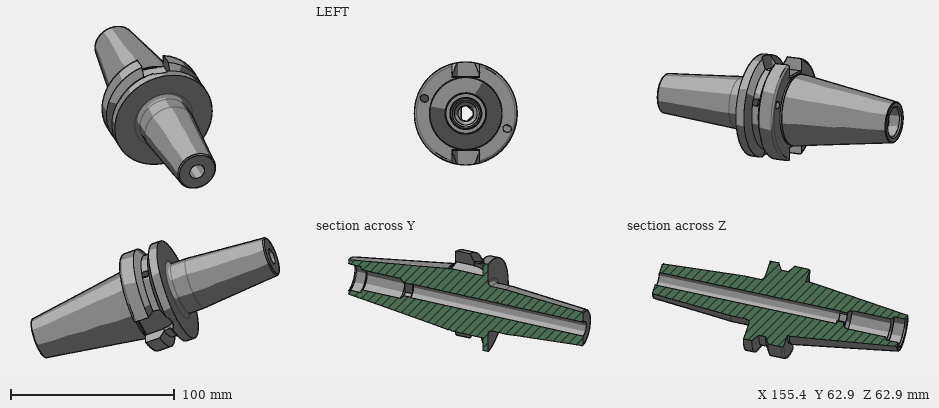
import cadquery as cq
import math

length = 155.4
taper_length = 65.9
collar_start = 67.1
flange_end = 92.5
shank_taper_start = 104.6

taper_slope = 7 / 24
gauge_radius = 22.2
tail_chamfer = 0.5
tail_radius = gauge_radius - taper_length * taper_slope / 2
relief_radius = 21.9

flange_radius = 31.47
collar_fillet = 1.4
groove_center = 81.9
groove_floor_width = 4.4
groove_floor_radius = 26.4
groove_half_angle = 30

shank_radius = 16.2
shank_fillet = 2.5
nose_half_angle = 4.5
nose_chamfer = 0.8

mouth_radius = 9.8
mouth_depth = 1.2
pilot_radius = 9.2
pilot_depth = 8.1
thread_mouth_radius = 8.2
thread_radius = 7.0
thread_end = 34.2
nose_bore_radius = 4.8

throat_length = 4.7
throat_radius = 4.5
side_flat_distance = 2.6
inclined_flat_distance = 3.9
inclined_flat_angle = 48
throat_start = thread_end + thread_radius - nose_bore_radius
throat_overlap = 0.8

slot_width = 16.2
collar_slot_width = 17.0
slot_end = 88.9
slot_floor = 22.5
slot_lip_length = 1.0

coolant_diameter = 4.5
coolant_angle = 20
coolant_entry_radius = 26.9
coolant_tilt = 28


def revolve_about_x(outline):
    return outline.close().revolve(360, (0, 0, 0), (1, 0, 0))


def make_body():
    groove_half_floor = groove_floor_width / 2
    groove_depth = flange_radius - groove_floor_radius
    groove_half_top = groove_half_floor + groove_depth * math.tan(math.radians(groove_half_angle))
    nose_start = length - nose_chamfer
    nose_radius = shank_radius - (nose_start - shank_taper_start) * math.tan(math.radians(nose_half_angle))
    outline = (
        cq.Workplane("XY")
        .moveTo(0, 0)
        .lineTo(0, tail_radius - tail_chamfer)
        .lineTo(tail_chamfer, tail_radius + tail_chamfer * taper_slope / 2)
        .lineTo(taper_length, gauge_radius)
        .lineTo(taper_length, relief_radius)
        .lineTo(collar_start, relief_radius)
        .lineTo(collar_start, flange_radius - collar_fillet)
        .radiusArc((collar_start + collar_fillet, flange_radius), collar_fillet)
        .lineTo(groove_center - groove_half_top, flange_radius)
        .lineTo(groove_center - groove_half_floor, groove_floor_radius)
        .lineTo(groove_center + groove_half_floor, groove_floor_radius)
        .lineTo(groove_center + groove_half_top, flange_radius)
        .lineTo(flange_end, flange_radius)
        .lineTo(flange_end, shank_radius + shank_fillet)
        .radiusArc((flange_end + shank_fillet, shank_radius), -shank_fillet)
        .lineTo(shank_taper_start, shank_radius)
        .lineTo(nose_start, nose_radius)
        .lineTo(length, nose_radius - nose_chamfer)
        .lineTo(length, 0)
    )
    return revolve_about_x(outline)


def make_bore():
    outline = (
        cq.Workplane("XY")
        .moveTo(0, 0)
        .lineTo(0, mouth_radius)
        .lineTo(mouth_depth, pilot_radius)
        .lineTo(pilot_depth, pilot_radius)
        .lineTo(pilot_depth, thread_mouth_radius)
        .lineTo(pilot_depth + thread_mouth_radius - thread_radius, thread_radius)
        .lineTo(thread_end, thread_radius)
        .lineTo(throat_start, nose_bore_radius)
        .lineTo(length, nose_bore_radius)
        .lineTo(length, 0)
    )
    return revolve_about_x(outline)


def make_throat():
    """Ring left standing in the bore, whose opening is a circle with three flats."""
    profile = cq.Workplane("YZ", origin=(throat_start, 0, 0))
    opening = profile.circle(throat_radius).extrude(throat_length)
    flats = (
        (0, side_flat_distance),
        (180 - inclined_flat_angle, inclined_flat_distance),
        (180 + inclined_flat_angle, inclined_flat_distance),
    )
    for angle, distance in flats:
        beyond_flat = (
            profile.center(distance + nose_bore_radius, 0)
            .rect(2 * nose_bore_radius, 4 * nose_bore_radius)
            .extrude(throat_length)
            .rotate((0, 0, 0), (1, 0, 0), angle)
        )
        opening = opening.cut(beyond_flat)
    return profile.circle(nose_bore_radius + throat_overlap).extrude(throat_length).cut(opening)


def make_drive_slot():
    """Round-ended slot on the +Z side, slightly wider through the collar, with a bevelled floor edge."""
    half_width = slot_width / 2
    arc_center = slot_end - half_width
    slot = (
        cq.Workplane("XY", origin=(0, 0, slot_floor))
        .moveTo(taper_length, -half_width)
        .lineTo(arc_center, -half_width)
        .threePointArc((slot_end, 0), (arc_center, half_width))
        .lineTo(taper_length, half_width)
        .close()
        .extrude(flange_radius)
    )
    collar_passage = cq.Workplane("XY").box(
        groove_center - groove_floor_width / 2 - taper_length,
        collar_slot_width,
        flange_radius,
        centered=(False, True, False),
    )
    collar_passage = collar_passage.translate((taper_length, 0, slot_floor))
    lip = (
        cq.Workplane("XZ", origin=(0, collar_slot_width / 2, 0))
        .moveTo(collar_start, relief_radius)
        .lineTo(collar_start, slot_floor)
        .lineTo(collar_start + slot_lip_length, slot_floor)
        .close()
        .extrude(collar_slot_width)
    )
    return slot.union(collar_passage).union(lip)


def make_coolant_hole():
    """Inclined hole from the collar face, met by a radial hole from the groove floor, on the +Y side."""
    hole_radius = coolant_diameter / 2
    tilt = math.radians(coolant_tilt)
    meeting_radius = coolant_entry_radius - (groove_center - collar_start) * math.tan(tilt)
    direction = cq.Vector(math.cos(tilt), -math.sin(tilt), 0)
    entry = cq.Vector(collar_start, coolant_entry_radius, 0)
    start = entry - direction * coolant_diameter
    inclined_length = (groove_center - collar_start) / math.cos(tilt) + coolant_diameter
    inclined = cq.Solid.makeCylinder(hole_radius, inclined_length, start, direction)
    radial = cq.Solid.makeCylinder(
        hole_radius,
        flange_radius - meeting_radius,
        cq.Vector(groove_center, meeting_radius, 0),
        cq.Vector(0, 1, 0),
    )
    return cq.Workplane("XY").add(inclined.fuse(radial))


result = make_body().cut(make_bore()).union(make_throat())
for turn in (0, 180):
    result = result.cut(make_drive_slot().rotate((0, 0, 0), (1, 0, 0), turn))
    result = result.cut(make_coolant_hole().rotate((0, 0, 0), (1, 0, 0), coolant_angle + turn))